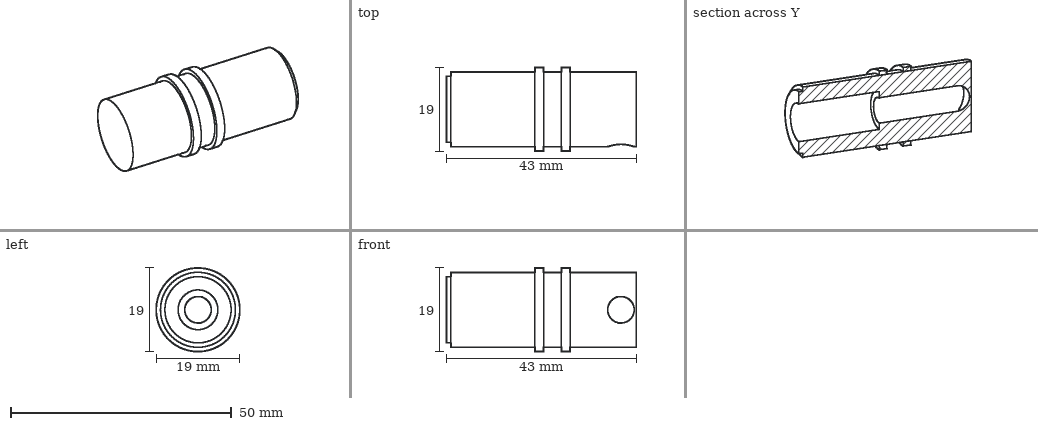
import cadquery as cq

total_length = 43.0
body_diameter = 17.0
spigot_diameter = 15.0
spigot_length = 1.0

socket_diameter = 9.0
socket_depth = 20.0
passage_diameter = 6.0
port_end_wall = 0.5
port_x = total_length - port_end_wall - passage_diameter / 2

ring_diameter = 19.0
ring_width = 2.0
ring_gap = 4.0
first_ring_x = 20.0
ring_count = 2
ring_pitch = ring_width + ring_gap


def cylinder_along_x(diameter, start_x, end_x):
    """Cylinder on the X axis between two positions."""
    return (
        cq.Workplane("YZ")
        .workplane(offset=start_x)
        .circle(diameter / 2)
        .extrude(end_x - start_x)
    )


def port_cylinder(start_y, end_y):
    """Cylinder along Y on the side port's axis between two positions."""
    return (
        cq.Workplane("XZ", origin=(port_x, end_y, 0))
        .circle(passage_diameter / 2)
        .extrude(end_y - start_y)
    )


def make_elbow_passage():
    """Bore and side port of equal diameter, meeting in a mitred corner."""
    radius = passage_diameter / 2
    bore = cylinder_along_x(passage_diameter, 0, port_x)
    port = port_cylinder(-body_diameter / 2, 0)
    corner = cylinder_along_x(passage_diameter, port_x - radius, port_x + radius).intersect(
        port_cylinder(-radius, radius)
    )
    return bore.union(port).union(corner)


def make_body():
    """Plug with an end spigot, a socket and the elbow passage."""
    spigot = cylinder_along_x(spigot_diameter, 0, spigot_length)
    barrel = cylinder_along_x(body_diameter, spigot_length, total_length)
    socket = cylinder_along_x(socket_diameter, 0, socket_depth)
    return spigot.union(barrel).cut(socket).cut(make_elbow_passage())


def make_seal_ring(start_x):
    """Square-edged ring that fits closely around the body."""
    end_x = start_x + ring_width
    return cylinder_along_x(ring_diameter, start_x, end_x).cut(
        cylinder_along_x(body_diameter, start_x, end_x)
    )


body = make_body()
seal_rings = [make_seal_ring(first_ring_x + i * ring_pitch) for i in range(ring_count)]

result = cq.Compound.makeCompound(
    [body.solids().val(), *[ring.solids().val() for ring in seal_rings]]
)